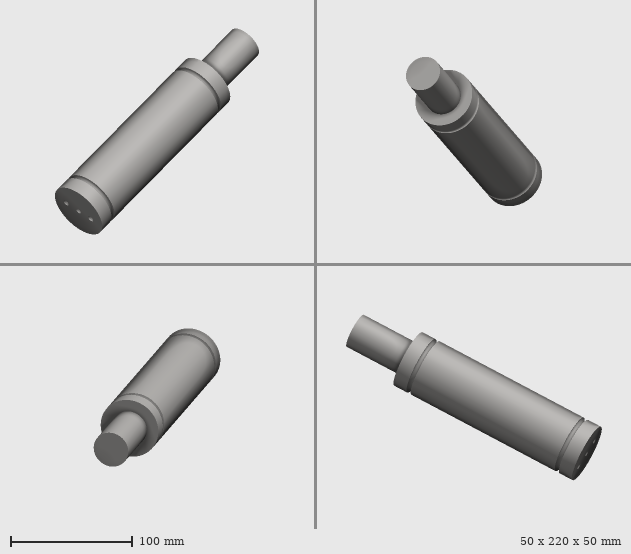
import cadquery as cq
import math

total_length = 220.0
body_diameter = 50.0
rod_diameter = 30.0
rod_length = 50.5
body_length = total_length - rod_length

groove_radius = 2.0
groove_width = 2 * groove_radius
end_land = 12.3

center_hole_diameter = 4.8
side_hole_diameter = 5.0
hole_spacing = 13.0
hole_depth = 11.0
drill_tip_angle = 118.0


def cylinder_along_y(diameter, start, length):
    """Cylinder on the Y axis, from y = start toward +Y."""
    return cq.Workplane("XZ", origin=(0, start, 0)).circle(diameter / 2).extrude(-length)


def groove_cutter(center_y):
    """Ring of circular section, centered on the body surface."""
    return (
        cq.Workplane("XY")
        .center(body_diameter / 2, center_y)
        .circle(groove_radius)
        .revolve(360, (-body_diameter / 2, 0, 0), (-body_diameter / 2, 1, 0))
    )


def drilled_hole(diameter, x):
    """Blind hole from the front face (y = 0), with a conical drill tip."""
    radius = diameter / 2
    tip_length = radius / math.tan(math.radians(drill_tip_angle / 2))
    return (
        cq.Workplane("XY")
        .moveTo(0, 0)
        .lineTo(radius, 0)
        .lineTo(radius, hole_depth)
        .lineTo(0, hole_depth + tip_length)
        .close()
        .revolve(360, (0, 0, 0), (0, 1, 0))
        .translate((x, 0, 0))
    )


body = cylinder_along_y(body_diameter, 0, body_length)
rod = cylinder_along_y(rod_diameter, body_length, rod_length)
result = body.union(rod)

groove_inset = end_land + groove_width / 2
for groove_y in (groove_inset, body_length - groove_inset):
    result = result.cut(groove_cutter(groove_y))

result = result.cut(drilled_hole(center_hole_diameter, 0))
for side in (-1, 1):
    result = result.cut(drilled_hole(side_hole_diameter, side * hole_spacing))